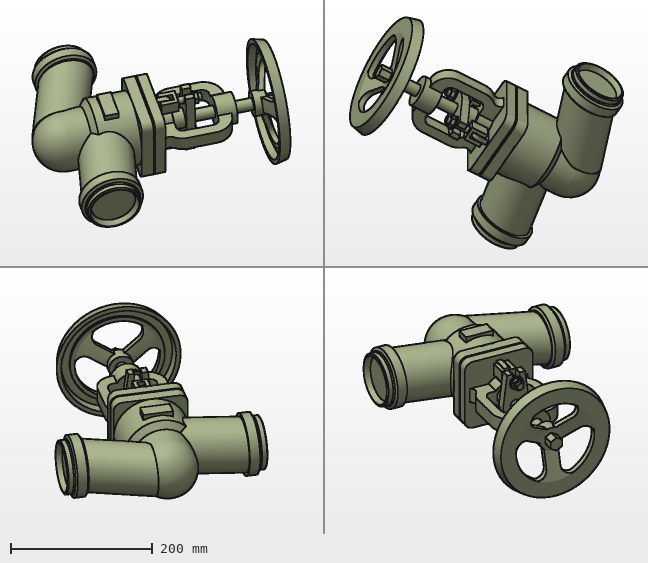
import cadquery as cq
import math


BODY_RADIUS = 53.5
BODY_TAPER_START_Y = 5.7
BODY_TAPER_END_Y = -3.0
NECK_RADIUS = 43.5
BOTTOM_CENTRE_Y = -36.0

FLANGE_SIDE = 107.5
FLANGE_CORNER_RADIUS = 12.8
BODY_FLANGE_BOTTOM_Y = 64.5
BODY_FLANGE_TOP_Y = 81.5
BONNET_FLANGE_BOTTOM_Y = 84.0
BONNET_FLANGE_TOP_Y = 99.0
GASKET_RADIUS = 47.7

PLATE_LENGTH = 43.0
PLATE_BOTTOM_Y = 19.2
PLATE_TOP_Y = 39.5
PLATE_TOP_Z = 57.5

OVERALL_LENGTH = 290.0
END_X = OVERALL_LENGTH / 2
COLLAR_OUTER_X = 132.0
COLLAR_INNER_X = 117.5
COLLAR_RADIUS = 45.0
COLLAR_BACK_LENGTH = 3.0
COLLAR_BACK_RADIUS = 40.5
SHOULDER_RADIUS = 40.2
SHOULDER_LENGTH = 2.0
SPIGOT_RADIUS = 38.8
SPIGOT_LENGTH = 8.5
SPIGOT_CHAMFER_DEPTH = 2.5
SPIGOT_CHAMFER_LENGTH = 1.5
MOUTH_RADIUS = 35.5
MOUTH_FLOOR_RADIUS = 32.0
MOUTH_DEPTH = 9.0
INLET_RADIUS = 37.7
INLET_TILT = 20.0
INLET_INNER_X = -22.0
OUTLET_RADIUS = 40.0
OUTLET_TILT = 11.5

YOKE_THICKNESS = 22.0
YOKE_HALF_WIDTH = 50.2
YOKE_TOP_Y = 204.5
YOKE_ARC_RADIUS = 29.5
YOKE_SIDE_BOTTOM_Y = 132.0
YOKE_WAIST_TOP_Y = 113.2
YOKE_WAIST_HALF_WIDTH = 41.3
YOKE_FOOT_HALF_WIDTH = 46.0
WINDOW_HALF_WIDTH = 35.2
WINDOW_BOTTOM_Y = 121.8
WINDOW_TOP_Y = 184.0
WINDOW_CORNER_RADIUS = 10.5
YOKE_BOSS_RADIUS = 22.8
YOKE_BOSS_TOP_Y = 213.0

STUFFING_BOX_RADIUS = 19.5
SLEEVE_RADIUS = 14.5
BAR_BOTTOM_Y = 139.2
BAR_TOP_Y = 152.0
BAR_HALF_LENGTH = 51.3
BAR_END_HALF_WIDTH = 14.2
BAR_MIDDLE_HALF_WIDTH = 20.5

BOLT_Z = 36.3
BOLT_RADIUS = 5.5
BOLT_SLOT_WIDTH = 11.5
BOLT_TOP_Y = 165.5
WASHER_RADIUS = 10.0
WASHER_HEIGHT = 2.0
NUT_ACROSS_FLATS = 15.5
NUT_HEIGHT = 6.0
CLEVIS_WIDTH = 22.8
CLEVIS_DEPTH = 18.5
CLEVIS_BOTTOM_Y = 104.5
CLEVIS_TOP_Y = 130.0
CLEVIS_SLOT_WIDTH = 10.0
CLEVIS_SLOT_TOP_Y = 124.5
LUG_WIDTH = 8.5

STEM_RADIUS = 9.0
STEM_NUT_ACROSS_FLATS = 18.0
STEM_NUT_TOP_Y = 276.5
WHEEL_BOTTOM_Y = 256.5
WHEEL_TOP_Y = 272.7
WHEEL_RADIUS = 90.0
WHEEL_TOP_RADIUS = 86.0
RECESS_MOUTH_RADIUS = 83.3
RECESS_FLOOR_RADIUS = 80.5
RECESS_FLOOR_Y = 267.7
RING_OUTER_RADIUS = 68.7
RING_INNER_RADIUS = 62.0
RING_Y = 263.8
SPOKE_COUNT = 3
SPOKE_WIDTH = 22.5
SPOKE_FIRST_ANGLE = 30.0
SPOKE_CORNER_RADIUS = 13.5
HUB_RADIUS = 18.0
HUB_BOTTOM_Y = 240.0
HUB_SPOKE_Y = 251.0
WEB_THICKNESS = WHEEL_TOP_Y - RING_Y
HUB_TOP_Y = HUB_SPOKE_Y + WEB_THICKNESS


def disc(radius, bottom_y, top_y):
    """Cylinder on the stem axis."""
    return cq.Workplane("XZ", origin=(0, bottom_y, 0)).circle(radius).extrude(bottom_y - top_y)


def hexagon(across_flats, bottom_y, height, centre_z=0):
    """Hexagonal nut along Y with two of its corners facing +Z and -Z."""
    across_corners = across_flats / math.cos(math.pi / 6)
    return (
        cq.Workplane("XZ", origin=(0, bottom_y, centre_z))
        .transformed(rotate=(0, 0, 90))
        .polygon(6, across_corners)
        .extrude(-height)
    )


def block(width, bottom_y, top_y, low_z, high_z):
    """Box centred on X = 0."""
    return cq.Workplane("XY").box(width, top_y - bottom_y, high_z - low_z).translate(
        (0, (bottom_y + top_y) / 2, (low_z + high_z) / 2)
    )


def make_body():
    arc_reach = NECK_RADIUS * math.sqrt(0.5)
    return (
        cq.Workplane("XY")
        .moveTo(0, BODY_FLANGE_TOP_Y)
        .lineTo(BODY_RADIUS, BODY_FLANGE_TOP_Y)
        .lineTo(BODY_RADIUS, BODY_TAPER_START_Y)
        .lineTo(NECK_RADIUS, BODY_TAPER_END_Y)
        .lineTo(NECK_RADIUS, BOTTOM_CENTRE_Y)
        .threePointArc((arc_reach, BOTTOM_CENTRE_Y - arc_reach), (0, BOTTOM_CENTRE_Y - NECK_RADIUS))
        .close()
        .revolve(360, (0, 0), (0, 1))
    )


def make_name_plate():
    return block(PLATE_LENGTH, PLATE_BOTTOM_Y, PLATE_TOP_Y, 0, PLATE_TOP_Z)


def make_flange(bottom_y, top_y):
    half = FLANGE_SIDE / 2
    return block(FLANGE_SIDE, bottom_y, top_y, -half, half).edges("|Y").fillet(FLANGE_CORNER_RADIUS)


def make_pipe(radius, tilt, side, inner_x):
    """Tilted round branch cut square to X at both ends.

    It reaches from inner_x to the collar on the given side (-1 or +1 along X), where its axis
    meets the X axis. A positive tilt drops towards +X.
    """
    angle = math.radians(tilt)
    outer_x = side * COLLAR_INNER_X
    axis = cq.Vector(math.cos(angle), -math.sin(angle), 0)
    start = cq.Vector(outer_x, 0, 0) - axis * OVERALL_LENGTH / 2
    round_bar = cq.Workplane(cq.Solid.makeCylinder(radius, OVERALL_LENGTH, start, axis))
    slab_length = abs(outer_x - inner_x)
    slab = cq.Workplane("XY").box(slab_length, OVERALL_LENGTH, OVERALL_LENGTH)
    return round_bar.intersect(slab.translate(((outer_x + inner_x) / 2, 0, 0)))


def make_pipe_end():
    """Collar and hollowed spigot on the +X side."""
    outline = [
        (COLLAR_INNER_X, 0),
        (COLLAR_INNER_X, COLLAR_RADIUS),
        (COLLAR_OUTER_X, COLLAR_RADIUS),
        (COLLAR_OUTER_X + SHOULDER_LENGTH, SHOULDER_RADIUS),
        (END_X - SPIGOT_LENGTH, SPIGOT_RADIUS),
        (END_X - SPIGOT_CHAMFER_LENGTH, SPIGOT_RADIUS),
        (END_X, SPIGOT_RADIUS - SPIGOT_CHAMFER_DEPTH),
        (END_X, MOUTH_RADIUS),
        (END_X - MOUTH_DEPTH, MOUTH_FLOOR_RADIUS),
        (END_X - MOUTH_DEPTH, 0),
    ]
    return cq.Workplane("XY").polyline(outline).close().revolve(360, (0, 0), (1, 0))


def make_inlet_collar_back():
    """Cone from the inlet collar down to the tilted pipe."""
    cone = cq.Solid.makeCone(
        COLLAR_RADIUS,
        COLLAR_BACK_RADIUS,
        COLLAR_BACK_LENGTH,
        cq.Vector(-COLLAR_INNER_X, 0, 0),
        cq.Vector(1, 0, 0),
    )
    return cq.Workplane(cone)


def make_yoke():
    arc_centre_x = YOKE_HALF_WIDTH - YOKE_ARC_RADIUS
    top_arc_y = YOKE_TOP_Y - YOKE_ARC_RADIUS
    arc_reach = YOKE_ARC_RADIUS * math.sqrt(0.5)

    waist_angle = math.asin((YOKE_SIDE_BOTTOM_Y - YOKE_WAIST_TOP_Y) / YOKE_ARC_RADIUS)
    waist_top_x = arc_centre_x + YOKE_ARC_RADIUS * math.cos(waist_angle)
    lower_mid_x = arc_centre_x + YOKE_ARC_RADIUS * math.cos(waist_angle / 2)
    lower_mid_y = YOKE_SIDE_BOTTOM_Y - YOKE_ARC_RADIUS * math.sin(waist_angle / 2)
    waist_y = (YOKE_WAIST_TOP_Y + BONNET_FLANGE_TOP_Y) / 2

    half_frame = (
        cq.Workplane("XY", origin=(0, 0, -YOKE_THICKNESS / 2))
        .moveTo(0, YOKE_TOP_Y)
        .lineTo(arc_centre_x, YOKE_TOP_Y)
        .threePointArc((arc_centre_x + arc_reach, top_arc_y + arc_reach), (YOKE_HALF_WIDTH, top_arc_y))
        .lineTo(YOKE_HALF_WIDTH, YOKE_SIDE_BOTTOM_Y)
        .threePointArc((lower_mid_x, lower_mid_y), (waist_top_x, YOKE_WAIST_TOP_Y))
        .threePointArc((YOKE_WAIST_HALF_WIDTH, waist_y), (YOKE_FOOT_HALF_WIDTH, BONNET_FLANGE_TOP_Y))
        .lineTo(0, BONNET_FLANGE_TOP_Y)
        .close()
        .extrude(YOKE_THICKNESS)
    )
    half_thickness = YOKE_THICKNESS / 2
    window = block(2 * WINDOW_HALF_WIDTH, WINDOW_BOTTOM_Y, WINDOW_TOP_Y, -half_thickness, half_thickness)
    window = window.edges("|Z").fillet(WINDOW_CORNER_RADIUS)
    boss = disc(YOKE_BOSS_RADIUS, WINDOW_TOP_Y, YOKE_BOSS_TOP_Y)
    return half_frame.union(half_frame.mirror("YZ")).cut(window).union(boss)


def make_gland():
    stuffing_box = disc(STUFFING_BOX_RADIUS, BONNET_FLANGE_TOP_Y, WINDOW_BOTTOM_Y)
    sleeve = disc(SLEEVE_RADIUS, WINDOW_BOTTOM_Y, BAR_TOP_Y)
    bar = (
        cq.Workplane("XZ", origin=(0, BAR_BOTTOM_Y, 0))
        .moveTo(BAR_END_HALF_WIDTH, BAR_HALF_LENGTH)
        .lineTo(BAR_MIDDLE_HALF_WIDTH, 0)
        .lineTo(BAR_END_HALF_WIDTH, -BAR_HALF_LENGTH)
        .lineTo(-BAR_END_HALF_WIDTH, -BAR_HALF_LENGTH)
        .lineTo(-BAR_MIDDLE_HALF_WIDTH, 0)
        .lineTo(-BAR_END_HALF_WIDTH, BAR_HALF_LENGTH)
        .close()
        .extrude(BAR_BOTTOM_Y - BAR_TOP_Y)
    )
    slot_length = 2 * (BAR_HALF_LENGTH - BOLT_Z) + BOLT_SLOT_WIDTH
    slots = (
        cq.Workplane("XZ", origin=(0, BAR_BOTTOM_Y, 0))
        .pushPoints([(0, BAR_HALF_LENGTH), (0, -BAR_HALF_LENGTH)])
        .slot2D(slot_length, BOLT_SLOT_WIDTH, 90)
        .extrude(BAR_BOTTOM_Y - BAR_TOP_Y)
    )
    return stuffing_box.union(sleeve).union(bar.cut(slots))


def make_gland_bolt():
    """Hinged gland bolt on the +Z side: lug, slotted clevis, shank, washer and nut."""
    outer_z = BOLT_Z + CLEVIS_DEPTH / 2
    inner_z = BOLT_Z - CLEVIS_DEPTH / 2
    lug = block(LUG_WIDTH, BONNET_FLANGE_TOP_Y, WINDOW_BOTTOM_Y, 0, outer_z)
    lug = lug.edges("|X and >Y and >Z").fillet(CLEVIS_DEPTH / 2)
    clevis = block(CLEVIS_WIDTH, CLEVIS_BOTTOM_Y, CLEVIS_TOP_Y, inner_z, outer_z)
    clevis_slot = block(CLEVIS_SLOT_WIDTH, CLEVIS_BOTTOM_Y, CLEVIS_SLOT_TOP_Y, inner_z, outer_z)
    shank = disc(BOLT_RADIUS, CLEVIS_SLOT_TOP_Y, BOLT_TOP_Y).translate((0, 0, BOLT_Z))
    nut_y = BAR_TOP_Y + WASHER_HEIGHT
    washer = disc(WASHER_RADIUS, BAR_TOP_Y, nut_y).translate((0, 0, BOLT_Z))
    nut = hexagon(NUT_ACROSS_FLATS, nut_y, NUT_HEIGHT, BOLT_Z)
    return [lug, clevis.cut(clevis_slot), shank, washer, nut]


def make_handwheel():
    """Conical rim with a recess on the underside, a raised ring, a dished web and spokes."""
    outline = [
        (0, HUB_TOP_Y),
        (HUB_RADIUS, HUB_TOP_Y),
        (RING_INNER_RADIUS, WHEEL_TOP_Y),
        (WHEEL_TOP_RADIUS, WHEEL_TOP_Y),
        (WHEEL_RADIUS, WHEEL_BOTTOM_Y),
        (RECESS_MOUTH_RADIUS, WHEEL_BOTTOM_Y),
        (RECESS_FLOOR_RADIUS, RECESS_FLOOR_Y),
        (RING_OUTER_RADIUS, RECESS_FLOOR_Y),
        (RING_OUTER_RADIUS, RING_Y),
        (RING_INNER_RADIUS, RING_Y),
        (HUB_RADIUS, HUB_SPOKE_Y),
        (0, HUB_SPOKE_Y),
    ]
    wheel = cq.Workplane("XY").polyline(outline).close().revolve(360, (0, 0), (0, 1))

    windows = disc(RING_INNER_RADIUS, HUB_SPOKE_Y, WHEEL_TOP_Y)
    for index in range(SPOKE_COUNT):
        angle = SPOKE_FIRST_ANGLE + index * 360 / SPOKE_COUNT
        spoke = (
            cq.Workplane("XZ", origin=(0, HUB_SPOKE_Y, 0))
            .transformed(rotate=(0, 0, angle))
            .center(WHEEL_RADIUS / 2, 0)
            .rect(WHEEL_RADIUS, SPOKE_WIDTH)
            .extrude(HUB_SPOKE_Y - WHEEL_TOP_Y)
        )
        windows = windows.cut(spoke)
    outer_corners = windows.edges("|Y").filter(
        lambda edge: math.hypot(edge.Center().x, edge.Center().z) > RING_INNER_RADIUS / 2
    )
    windows = outer_corners.fillet(SPOKE_CORNER_RADIUS)
    hub = disc(HUB_RADIUS, HUB_BOTTOM_Y, HUB_TOP_Y)
    return wheel.cut(windows).union(hub)


pipe_end = make_pipe_end()

parts = [
    make_name_plate(),
    make_flange(BODY_FLANGE_BOTTOM_Y, BODY_FLANGE_TOP_Y),
    disc(GASKET_RADIUS, BODY_FLANGE_TOP_Y, BONNET_FLANGE_BOTTOM_Y),
    make_flange(BONNET_FLANGE_BOTTOM_Y, BONNET_FLANGE_TOP_Y),
    make_pipe(INLET_RADIUS, INLET_TILT, -1, INLET_INNER_X),
    make_pipe(OUTLET_RADIUS, OUTLET_TILT, 1, 0),
    make_inlet_collar_back(),
    pipe_end.mirror("YZ"),
    pipe_end,
    make_yoke(),
    make_gland(),
    disc(STEM_RADIUS, WINDOW_BOTTOM_Y, HUB_TOP_Y),
    make_handwheel(),
    hexagon(STEM_NUT_ACROSS_FLATS, HUB_TOP_Y, STEM_NUT_TOP_Y - HUB_TOP_Y),
]
for piece in make_gland_bolt():
    parts.append(piece)
    parts.append(piece.mirror("XY"))

result = make_body()
for part in parts:
    result = result.union(part)